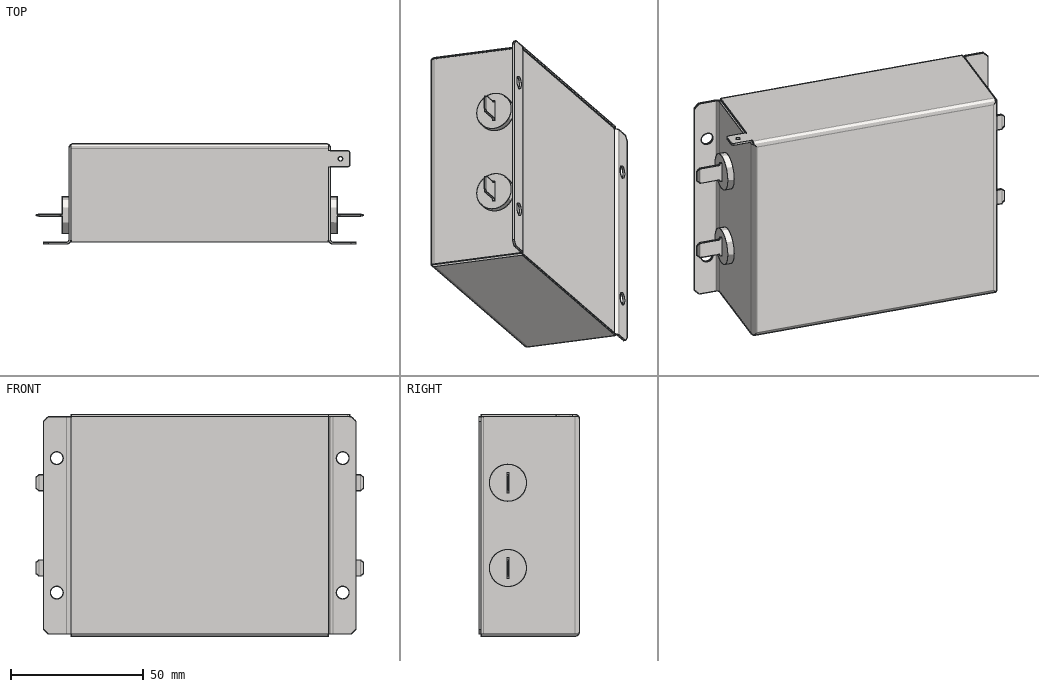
import cadquery as cq
import math

overall_length = 124.0
overall_depth = 38.1
overall_height = 84.0

sheet = 0.8
inner_bend = 1.0
outer_bend = inner_bend + sheet
case_length = 99.0
half_case = case_length / 2
flange_span = 118.3
flange_height = overall_height - 2 * sheet
flange_chamfer = 1.9
back_y = overall_depth / 2
flange_front_y = -back_y
flange_rear_y = flange_front_y + sheet
bend_y = flange_front_y + outer_bend
panel_front_y = flange_rear_y

cover_length = case_length - 2 * sheet
cover_recess = 0.4

hole_diameter = 4.7
hole_span_x = 108.1
hole_span_z = 50.8

tab_end_x = 56.8
tab_width = 6.2
tab_center_y = 13.3
tab_corner = 1.0
tab_hole_diameter = 1.6
tab_hole_x = 53.2

terminal_y = -8.0
terminal_spacing = 32.2
bushing_diameter = 14.0
bushing_height = 2.6
shoulder_width = 7.8
shoulder_length = 0.6
shoulder_fillet = 0.6
blade_width = 6.2
blade_thickness = 0.8
tip_length = 1.2
tip_width = 4.1
tip_thickness = 0.2


def block(x_range, y_range, z_range):
    """Box between two limits on each axis."""
    (x0, x1), (y0, y1), (z0, z1) = x_range, y_range, z_range
    return cq.Workplane("XY").box(x1 - x0, y1 - y0, z1 - z0, centered=False).translate((x0, y0, z0))


def make_case():
    """Closed case with rounded back edges and a small step along each corner."""
    depth = back_y - panel_front_y
    case = (
        cq.Workplane("XY")
        .box(case_length, depth, overall_height)
        .translate((0, panel_front_y + depth / 2, 0))
        .faces(">Y")
        .edges()
        .fillet(outer_bend)
    )
    corners = (
        cq.Workplane("XZ", origin=(0, back_y, 0))
        .rect(case_length, overall_height, forConstruction=True)
        .vertices()
        .rect(2 * sheet, 2 * sheet)
        .extrude(overall_depth)
    )
    bends = (
        cq.Workplane("XZ", origin=(0, bend_y, 0))
        .pushPoints([(-half_case, 0), (half_case, 0)])
        .rect(2 * sheet, overall_height)
        .extrude(outer_bend)
    )
    return case.cut(corners).cut(bends)


def make_cover_recess():
    """Shallow space in front of the cover, between the top, bottom and end walls."""
    return block(
        (-cover_length / 2, cover_length / 2),
        (panel_front_y, panel_front_y + cover_recess),
        (-flange_height / 2, flange_height / 2),
    )


def make_flange():
    """Right mounting flange with its bend, chamfered corners and two holes."""
    center_x = half_case + inner_bend
    diagonal = math.sqrt(0.5)
    flange = (
        cq.Workplane("XY", origin=(0, 0, -flange_height / 2))
        .moveTo(half_case, bend_y)
        .threePointArc(
            (center_x - inner_bend * diagonal, bend_y - inner_bend * diagonal),
            (center_x, flange_rear_y),
        )
        .lineTo(flange_span / 2, flange_rear_y)
        .lineTo(flange_span / 2, flange_front_y)
        .lineTo(center_x, flange_front_y)
        .threePointArc(
            (center_x - outer_bend * diagonal, bend_y - outer_bend * diagonal),
            (half_case - sheet, bend_y),
        )
        .close()
        .extrude(flange_height)
        .faces(">X")
        .edges("|Y")
        .chamfer(flange_chamfer)
    )
    holes = (
        cq.Workplane("XZ", origin=(hole_span_x / 2, flange_rear_y, 0))
        .pushPoints([(0, -hole_span_z / 2), (0, hole_span_z / 2)])
        .circle(hole_diameter / 2)
        .extrude(sheet)
    )
    return flange.cut(holes)


def make_tab():
    """Ground tab in the plane of the top panel."""
    top_z = overall_height / 2
    tab = (
        block(
            (half_case - outer_bend, tab_end_x),
            (tab_center_y - tab_width / 2, tab_center_y + tab_width / 2),
            (top_z - sheet, top_z),
        )
        .faces(">X")
        .edges("|Z")
        .fillet(tab_corner)
    )
    hole = (
        cq.Workplane("XY", origin=(tab_hole_x, tab_center_y, top_z - sheet))
        .circle(tab_hole_diameter / 2)
        .extrude(sheet)
    )
    return tab.cut(hole)


def make_terminal():
    """Right-hand bushing with a shouldered blade and a bevelled tip, centered on Z = 0."""
    bushing_face_x = half_case + bushing_height
    tip_base_x = overall_length / 2 - tip_length
    bushing = (
        cq.Workplane("YZ", origin=(half_case, terminal_y, 0))
        .circle(bushing_diameter / 2)
        .extrude(bushing_height)
    )
    shoulder_end_x = bushing_face_x + shoulder_length
    fillet_z = blade_width / 2 + shoulder_fillet
    blade = (
        cq.Workplane("XZ", origin=(0, terminal_y + blade_thickness / 2, 0))
        .moveTo(bushing_face_x, 0)
        .lineTo(bushing_face_x, shoulder_width / 2)
        .lineTo(shoulder_end_x, shoulder_width / 2)
        .lineTo(shoulder_end_x, fillet_z)
        .radiusArc((shoulder_end_x + shoulder_fillet, blade_width / 2), -shoulder_fillet)
        .lineTo(tip_base_x, blade_width / 2)
        .lineTo(tip_base_x, 0)
        .mirrorX()
        .extrude(blade_thickness)
    )
    tip = (
        cq.Workplane("YZ", origin=(tip_base_x, terminal_y, 0))
        .rect(blade_thickness, blade_width)
        .workplane(offset=tip_length)
        .rect(tip_thickness, tip_width)
        .loft()
    )
    return bushing.union(blade).union(tip)


result = make_case().cut(make_cover_recess()).union(make_tab())

flange = make_flange()
result = result.union(flange).union(flange.mirror("YZ"))

for z in (-terminal_spacing / 2, terminal_spacing / 2):
    terminal = make_terminal().translate((0, 0, z))
    result = result.union(terminal).union(terminal.mirror("YZ"))